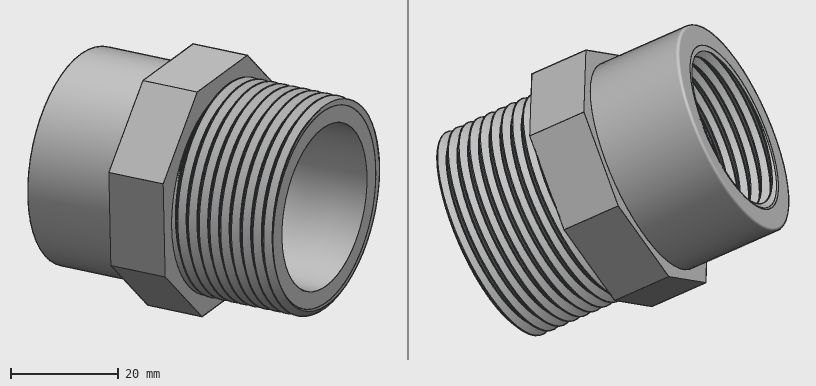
import cadquery as cq
import math

length = 52.1
sleeve_diameter = 41.9
sleeve_fillet = 0.5

collar_start = 19.0
collar_end = 30.7
collar_sides = 8
collar_across_flats = 45.95
collar_turn = 2.3

pitch = 2.31
crest_width = pitch / 10
base_width = 0.92 * pitch

male_major_diameter = sleeve_diameter
male_root_diameter = 38.9
male_crest_position = 31.8

female_root_diameter = 33.25
female_minor_diameter = 30.25
female_thread_end = 19.0
female_recess_depth = 20.2
female_crest_position = 0.0

bore_end_diameter = 32.25


def cylinder(diameter, start, end):
    """Solid cylinder on the X axis between two X positions."""
    return cq.Workplane("YZ", origin=(start, 0, 0)).circle(diameter / 2).extrude(end - start)


def thread_ridge(root_diameter, crest_diameter, crest_position, start, end):
    """Right-hand helical ridge standing on a root cylinder, cut square at both ends."""
    root_radius = root_diameter / 2
    crest_radius = crest_diameter / 2

    turns_ahead = math.ceil((crest_position - start) / pitch) + 1
    coil_start = crest_position - turns_ahead * pitch
    turns = math.ceil((end - coil_start) / pitch) + 1

    corners = [
        (root_radius, -base_width / 2),
        (crest_radius, -crest_width / 2),
        (crest_radius, crest_width / 2),
        (root_radius, base_width / 2),
    ]
    helices = [
        cq.Wire.makeHelix(pitch, turns * pitch, radius, center=cq.Vector(0, 0, offset))
        for radius, offset in corners
    ]
    next_helices = helices[1:] + helices[:1]
    faces = [
        cq.Face.makeRuledSurface(helix.Edges()[0], next_helix.Edges()[0])
        for helix, next_helix in zip(helices, next_helices)
    ]
    for end_height in (0, turns * pitch):
        profile = [cq.Vector(radius, 0, offset + end_height) for radius, offset in corners]
        faces.append(cq.Face.makeFromWires(cq.Wire.makePolygon(profile, close=True)))
    coil = cq.Solid.makeSolid(cq.Shell.makeShell(faces)).fix()

    coil = (
        cq.Workplane(coil)
        .rotate((0, 0, 0), (0, 0, 1), 180)
        .rotate((0, 0, 0), (0, 1, 0), 90)
        .translate((coil_start, 0, 0))
    )
    slab = cq.Workplane("YZ", origin=(start, 0, 0)).rect(length, length).extrude(end - start)
    return coil.intersect(slab)


def make_fitting():
    """Sleeve, octagonal collar and plain spigot, with a recess and a tapered through bore."""
    sleeve = cylinder(sleeve_diameter, 0, collar_end).faces("<X").edges().fillet(sleeve_fillet)
    half_side_angle = 180 / collar_sides
    collar = (
        cq.Workplane("YZ")
        .polygon(collar_sides, collar_across_flats / math.cos(math.radians(half_side_angle)))
        .extrude(collar_end - collar_start)
        .rotate((0, 0, 0), (1, 0, 0), half_side_angle + collar_turn)
        .translate((collar_start, 0, 0))
    )
    spigot = cylinder(male_root_diameter, collar_end, length)
    tapered_bore = (
        cq.Workplane("YZ", origin=(female_recess_depth, 0, 0))
        .circle(female_root_diameter / 2)
        .workplane(offset=length - female_recess_depth)
        .circle(bore_end_diameter / 2)
        .loft(ruled=True)
    )
    return (
        sleeve.union(collar)
        .union(spigot)
        .cut(tapered_bore)
        .cut(cylinder(female_root_diameter, 0, female_recess_depth))
    )


fitting = make_fitting()
external_thread = thread_ridge(
    male_root_diameter, male_major_diameter, male_crest_position, collar_end, length
)
internal_thread = thread_ridge(
    female_root_diameter, female_minor_diameter, female_crest_position, 0, female_thread_end
)

result = cq.Compound.makeCompound([fitting.val(), *external_thread.vals(), *internal_thread.vals()])